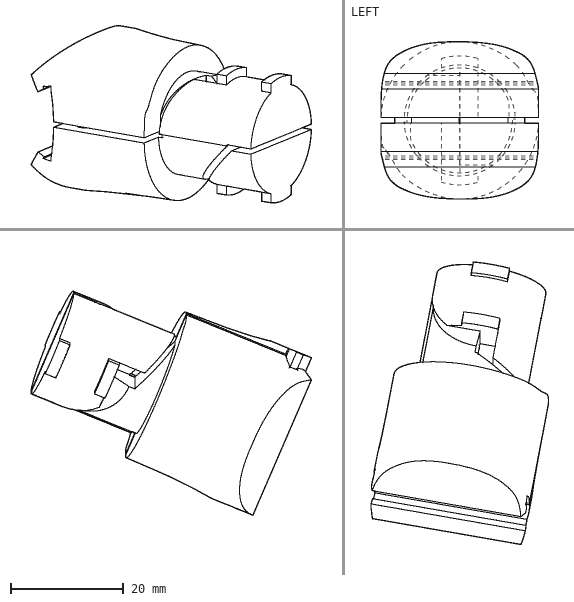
import cadquery as cq
import math

LENGTH = 44.3
HEAD_LENGTH = 24.35
HEAD_RADIUS = 14.0
SHOULDER_X = 7.98
BLEND_X = 15.95
HALF_GAP = 0.5
SIDE_CLEARANCE = 0.05

SHOULDER_KNOTS = [(13.75, 6.95), (12.65, 10.2), (10.1, 12.25)]
BLEND_KNOTS = [(13.3, 5.6), (11.35, 9.53), (7.3, 12.55)]
BACK_KNOT_HEIGHTS = [5.65, 8.4, 11.5]

NOSE_Z = 8.3
LIP_TIP = (1.8, 5.55)
LIP_INNER = (3.05, 6.3)
LIP_UNDERCUT = (2.8, 6.65)
MOUTH_CORNER = (4.4, 6.9)
MOUTH_MIDDLE = (4.9, 4.0)
MOUTH_DEPTH = 5.15
MOUTH_FLAT_Z = 0.9

SHANK_RADIUS = 9.9
ROOT_RADIUS = 9.35
STEP_Z = 0.25
VEE_X = 28.4
VEE_SLOPE = 0.46
VEE_GAP = 1.0
WEDGE_TIP_X = 38.85
WEDGE_GAP = 1.85

LUG_HALF_WIDTH = 3.3
LUG_RADIUS = 11.48
LUG_FRONT_X = 32.8
LUG_LENGTH = 2.05
PIN_X = 9.3
PIN_Y = 10.05
PIN_RADIUS = 1.5

MARGIN = 0.45
BIG = 2 * LENGTH


def box(x, y, z):
    """Box between the (low, high) limits on each axis."""
    size = (x[1] - x[0], y[1] - y[0], z[1] - z[0])
    return cq.Workplane("XY").box(*size, centered=False).translate((x[0], y[0], z[0]))


def rod(radius, start, end):
    """Cylinder along the X axis."""
    return cq.Workplane("YZ").workplane(offset=start).circle(radius).extrude(end - start)


def side_prism(points, y_low, y_high):
    """Prism along Y from an outline of (x, z) points."""
    plane = cq.Workplane("XZ", origin=(0, y_high, 0))
    return plane.polyline(points).close().extrude(y_high - y_low)


def behind_vee():
    """Space behind the vee gap on the +Y half."""
    back_x = VEE_X + VEE_GAP
    outer = SHANK_RADIUS + MARGIN
    outline = [
        (back_x - VEE_SLOPE * SIDE_CLEARANCE, SIDE_CLEARANCE),
        (LENGTH, SIDE_CLEARANCE),
        (LENGTH, outer),
        (back_x - VEE_SLOPE * outer, outer),
    ]
    return cq.Workplane("XY").workplane(offset=-BIG / 2).polyline(outline).close().extrude(BIG)


def head_section(x, knots):
    """Closed smooth upper half-section, symmetric about Y."""
    mirrored = [(-y, z) for y, z in reversed(knots)]
    through = knots + [(0, HEAD_RADIUS)] + mirrored
    start = (HEAD_RADIUS, 0)
    end = (-HEAD_RADIUS, 0)
    rim = cq.Workplane("YZ", origin=(x, 0, 0)).moveTo(*start)
    rim = rim.spline(through + [end], tangents=[(0, 1), (0, -1)], includeCurrent=True)
    return rim.close().wire().val()


def make_head():
    """Smoothly blended upper half-head, trimmed to the jaw profile."""
    back_knots = [(math.sqrt(HEAD_RADIUS**2 - z**2), z) for z in BACK_KNOT_HEIGHTS]
    shoulder = head_section(SHOULDER_X, SHOULDER_KNOTS)
    blend = head_section(BLEND_X, BLEND_KNOTS)
    back = head_section(HEAD_LENGTH, back_knots)
    front = head_section(0, SHOULDER_KNOTS)
    straight = cq.Workplane(cq.Solid.makeLoft([front, shoulder], True))
    blended = cq.Workplane(cq.Solid.makeLoft([shoulder, blend, back]))

    nose_top_x = HEAD_RADIUS + MARGIN - NOSE_Z
    outline = (
        cq.Workplane("XZ", origin=(0, HEAD_RADIUS + MARGIN, 0))
        .moveTo(0, NOSE_Z)
        .lineTo(*LIP_TIP)
        .lineTo(*LIP_INNER)
        .lineTo(*LIP_UNDERCUT)
        .lineTo(*MOUTH_CORNER)
        .threePointArc(MOUTH_MIDDLE, (MOUTH_DEPTH, MOUTH_FLAT_Z))
        .lineTo(MOUTH_DEPTH, HALF_GAP)
        .lineTo(HEAD_LENGTH, HALF_GAP)
        .lineTo(HEAD_LENGTH, HEAD_RADIUS + MARGIN)
        .lineTo(nose_top_x, HEAD_RADIUS + MARGIN)
        .close()
        .extrude(2 * (HEAD_RADIUS + MARGIN))
    )
    return straight.union(blended).intersect(outline)


def make_root():
    """Upper part of the shank that carries the head."""
    blank = rod(ROOT_RADIUS, HEAD_LENGTH - MARGIN, LENGTH)
    vee_outer_x = VEE_X - VEE_SLOPE * BIG
    vee_outline = [(VEE_X, 0), (vee_outer_x, BIG), (vee_outer_x, -BIG)]
    vee = cq.Workplane("XY").workplane(offset=HALF_GAP).polyline(vee_outline).close().extrude(BIG)
    wedge_outline = [
        (HEAD_LENGTH - MARGIN, HALF_GAP),
        (WEDGE_TIP_X - HALF_GAP, HALF_GAP),
        (HEAD_LENGTH - MARGIN, WEDGE_TIP_X - HEAD_LENGTH + MARGIN),
    ]
    wedge = side_prism(wedge_outline, SIDE_CLEARANCE, BIG)
    return blank.intersect(vee.union(wedge))


def make_bridge():
    """Strip on the +Y half that joins the root to the opposite tail."""
    outline = [
        (HEAD_LENGTH, -HALF_GAP),
        (WEDGE_TIP_X + HALF_GAP, -HALF_GAP),
        (WEDGE_TIP_X, 0),
        (WEDGE_TIP_X - HALF_GAP, HALF_GAP),
        (HEAD_LENGTH, HALF_GAP),
    ]
    strip = side_prism(outline, SIDE_CLEARANCE, BIG).intersect(behind_vee())
    lower = rod(SHANK_RADIUS, HEAD_LENGTH, LENGTH).intersect(box((0, LENGTH), (0, BIG), (-BIG, -STEP_Z)))
    upper = rod(ROOT_RADIUS, HEAD_LENGTH, LENGTH)
    return strip.intersect(upper.union(lower))


def make_tail():
    """Lower rear part of the shank with its two lugs."""
    blank = rod(SHANK_RADIUS, HEAD_LENGTH, LENGTH)
    wedge_back_x = WEDGE_TIP_X + WEDGE_GAP
    clear_outline = [
        (wedge_back_x - HALF_GAP, -HALF_GAP),
        (LENGTH, -HALF_GAP),
        (LENGTH, -BIG),
        (wedge_back_x - BIG, -BIG),
    ]
    behind_wedge = side_prism(clear_outline, -BIG, SIDE_CLEARANCE)
    below_gap = box((0, LENGTH), (SIDE_CLEARANCE, BIG), (-BIG, -HALF_GAP))
    tail = blank.intersect(behind_wedge.union(behind_vee().intersect(below_gap)))
    pocket = box((0, LUG_FRONT_X), (-BIG, LUG_HALF_WIDTH), (-BIG, -HALF_GAP))
    tail = tail.cut(pocket)
    lug_zone = box((0, LENGTH), (-LUG_HALF_WIDTH, LUG_HALF_WIDTH), (-BIG, -ROOT_RADIUS + MARGIN))
    for start in (LUG_FRONT_X, LENGTH - LUG_LENGTH):
        tail = tail.union(rod(LUG_RADIUS, start, start + LUG_LENGTH).intersect(lug_zone))
    return tail


def make_pin():
    """Pin reaching from the head to the flat of the opposite head."""
    base = cq.Workplane("XY", origin=(PIN_X, PIN_Y, -HALF_GAP))
    return base.circle(PIN_RADIUS).extrude(2 * HALF_GAP)


def make_jaw():
    """One jaw: upper head joined through the bridge to the lower tail."""
    jaw = make_head().union(make_root())
    jaw = jaw.union(make_bridge())
    jaw = jaw.union(make_tail())
    return jaw.union(make_pin())


jaw = make_jaw()
jaws = [jaw.rotate((0, 0, 0), (1, 0, 0), angle).val() for angle in (0, 180)]
solids = [solid for body in jaws for solid in body.Solids()]
result = cq.Compound.makeCompound(solids)